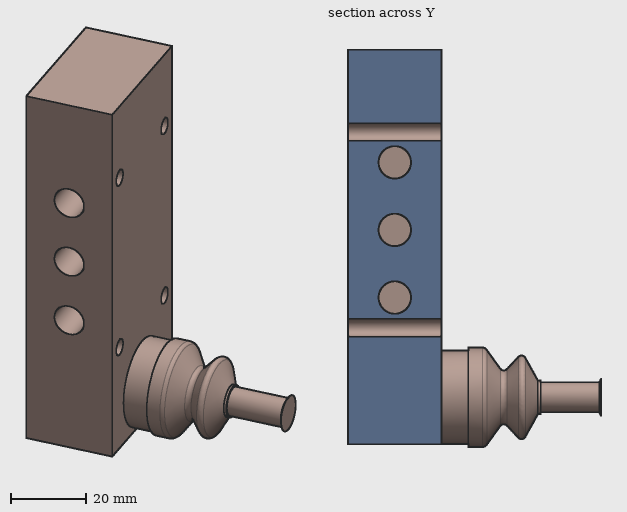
import cadquery as cq

overall_length = 67.4
overall_height = 105.8

body_depth = 25.0
body_width = 40.0

base_diameter = 25.0
collar_diameter = 26.5
stem_diameter = 8.0
stem_seat_diameter = 9.0
flare_diameter = 9.9
flare_length = 0.5
base_end = 7.1
collar_end = 11.5
neck_position = 16.4
neck_diameter = 13.0
crest_position = 21.5
crest_diameter = 23.9
seat_start = 25.6
seat_end = 26.3
shoulder_radius = 1.4
bellows_radius = 1.2

collar_drop = (collar_diameter - base_diameter) / 2
body_height = overall_height - collar_drop
button_length = overall_length - body_depth
button_axis_height = base_diameter / 2

pattern_height = 57.0

port_diameter = 8.6
port_depth = 12.7
port_pitch = 18.0
port_count = 3

mount_diameter = 4.5
mount_spacing_y = 30.0
mount_spacing_z = 52.0


def make_body():
    return cq.Workplane("XY").box(body_depth, body_width, body_height, centered=(False, True, False))


def make_button():
    """Turned button with a rubber bellows, starting at the +X face of the body."""
    corners = [
        (0, base_diameter),
        (base_end, base_diameter),
        (base_end, collar_diameter),
        (collar_end, collar_diameter),
        (neck_position, neck_diameter),
        (crest_position, crest_diameter),
        (seat_start, stem_seat_diameter),
        (seat_end, stem_seat_diameter),
        (seat_end, stem_diameter),
        (button_length - flare_length, stem_diameter),
        (button_length, flare_diameter),
    ]
    outline = [(0, 0)] + [(x, diameter / 2) for x, diameter in corners] + [(button_length, 0)]
    button = cq.Workplane("XZ").polyline(outline).close().revolve(360, (0, 0), (1, 0))
    for position, radius in (
        (collar_end, shoulder_radius),
        (neck_position, bellows_radius),
        (crest_position, bellows_radius),
    ):
        button = round_ring(button, position, radius)
    return button.translate((body_depth, 0, button_axis_height))


def round_ring(turned, position, radius):
    """Round the circular edge that lies at the given distance along the turning axis."""
    half_band = 0.1
    reach = collar_diameter
    ring = cq.selectors.BoxSelector(
        (position - half_band, -reach, -reach), (position + half_band, reach, reach), boundingbox=True
    )
    return turned.edges(ring).fillet(radius)


def make_ports():
    return (
        cq.Workplane("XZ", origin=(body_depth / 2, -body_width / 2, pattern_height))
        .rarray(1.1, port_pitch, 1, port_count)
        .circle(port_diameter / 2)
        .extrude(-port_depth)
    )


def make_mounting_holes():
    return (
        cq.Workplane("YZ", origin=(0, 0, pattern_height))
        .rarray(mount_spacing_y, mount_spacing_z, 2, 2)
        .circle(mount_diameter / 2)
        .extrude(body_depth)
    )


result = make_body().union(make_button()).cut(make_ports()).cut(make_mounting_holes())